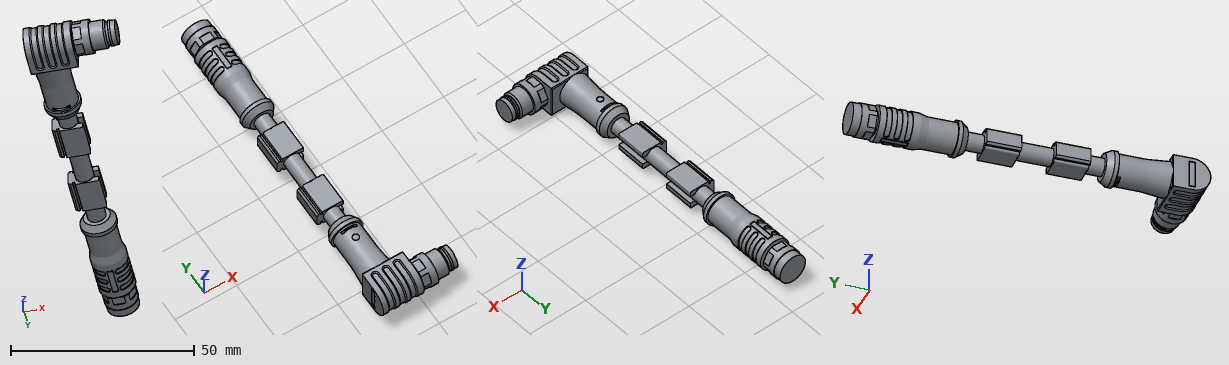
import cadquery as cq
import math


total_length = 103.0
total_width = 25.2
elbow_half = 5.16
y_end = total_length - elbow_half
x_end = total_width - elbow_half

cable_dia = 5.2
cable_overlap = 1.0
grip_dia = 10.3
sleeve_dia = 9.1
sleeve_end_dia = 7.6

nut_dia = 9.55
nut_rim_dia = 9.1
nut_across_flats = 8.9
neck_dia = 7.2

nut_rim_length = 2.45
nut_y = 91.0
nut_flat_length = 2.3
grip_top_y = 90.3
grip_bottom_y = 78.4
grip_cone_y = 75.9
flange_top_y = 67.5
flange_bottom_y = 66.3
straight_tail_y = 64.4

grip_groove_width = 1.55
grip_groove_pitch = 3.0
grip_groove_first_y = 87.5
grip_groove_count = 3
grip_groove_floor_dia = 9.6
grip_groove_tip_x = 1.35
window_width = 1.6
window_length = 7.6
window_floor_z = 4.85

elbow_tail_y = 24.5
elbow_flange_top_y = 22.5
elbow_flange_bottom_y = 21.2
elbow_sleeve_y = 12.6
elbow_tail_dia = 8.0
sleeve_overlap = 0.5
notch_y = 20.3
notch_width = 0.65
notch_half_length = 2.5
dimple_y = 16.9
dimple_dia = 2.0
dimple_floor_z = 4.3

block_top_y = 5.9
block_end_x = 8.0
block_chamfer = 0.3
block_groove_first_x = -2.25
block_groove_pitch = 3.55
block_groove_count = 3
block_groove_top_width = 2.3
block_groove_floor_width = 1.5
block_groove_depth = 0.3
block_groove_end_y = 3.5
mark_y = 0.2
mark_width = 1.7
mark_height = 8.0
mark_depth = 0.3

plug_nut_x = 8.35
plug_flat_length = 2.4
plug_nut_end_x = 13.0
barrel_dia = 8.0
barrel_end_x = 17.35
barrel_chamfer = 0.5
tip_neck_dia = 6.5
tip_ring_dia = 7.2
tip_dia = 6.9
tip_ring_start_x = 18.1
tip_ring_end_x = 18.7

clip_length = 10.0
clip_start_ys = (29.3, 49.3)
clip_body_left_x = -2.8
clip_body_right_x = 3.9
clip_body_half = 3.05
clip_left_round = 0.5
clip_right_round = 0.4
clip_plate_left_x = -4.7
clip_plate_right_x = -3.4
clip_plate_half = 2.6
clip_plate_chamfer_x = 0.65
clip_web_half = 2.0
clip_mouth_half = 1.2


def turned_along_y(stations):
    """Revolve (y, diameter) stations about the Y axis."""
    outline = [(0, stations[0][0])]
    outline += [(dia / 2, y) for y, dia in stations]
    outline += [(0, stations[-1][0])]
    return cq.Workplane("XY").polyline(outline).close().revolve(360, (0, 0, 0), (0, 1, 0))


def turned_along_x(stations):
    """Revolve (x, diameter) stations about the X axis."""
    outline = [(stations[0][0], 0)]
    outline += [(x, dia / 2) for x, dia in stations]
    outline += [(stations[-1][0], 0)]
    return cq.Workplane("XY").polyline(outline).close().revolve(360, (0, 0, 0), (1, 0, 0))


def box(x_range, y_range, z_range):
    """Axis-aligned box between three pairs of limits."""
    sizes = [high - low for low, high in (x_range, y_range, z_range)]
    corner = (x_range[0], y_range[0], z_range[0])
    return cq.Workplane("XY").box(*sizes, centered=False).translate(corner)


def nut_flats_cutter(length):
    """Ring that leaves a hexagonal bar, extruded along +Z, with two flats square to X."""
    across_corners = nut_across_flats / math.cos(math.pi / 6)
    ring = cq.Workplane("XY").circle(nut_dia).extrude(length)
    hexagon = cq.Workplane("XY").polygon(6, across_corners).extrude(length)
    return ring.cut(hexagon.rotate((0, 0, 0), (0, 0, 1), 30))


def grip_grooves():
    """Ring grooves interrupted at the top and bottom, with rounded ends there."""
    reach = grip_dia
    end_radius = grip_groove_width / 2
    grooves = cq.Workplane("XY")
    for index in range(grip_groove_count):
        y = grip_groove_first_y - index * grip_groove_pitch
        for side in (-1, 1):
            slot = (
                cq.Workplane("XY")
                .center(side * (grip_groove_tip_x + reach / 2), y)
                .slot2D(reach, 2 * end_radius)
                .extrude(reach, both=True)
            )
            grooves = grooves.union(slot)
    core = turned_along_y([(grip_bottom_y, grip_groove_floor_dia), (grip_top_y, grip_groove_floor_dia)])
    return grooves.cut(core)


def straight_connector():
    body = turned_along_y([
        (straight_tail_y, sleeve_end_dia),
        (flange_bottom_y, grip_dia),
        (flange_top_y, grip_dia),
        (flange_top_y, sleeve_dia),
        (grip_cone_y, sleeve_dia),
        (grip_bottom_y, grip_dia),
        (grip_top_y, grip_dia),
        (grip_top_y, neck_dia),
        (nut_y, neck_dia),
        (nut_y, nut_dia),
        (y_end - nut_rim_length, nut_dia),
        (y_end - nut_rim_length, nut_rim_dia),
        (y_end, nut_rim_dia),
    ])
    flats = nut_flats_cutter(nut_flat_length)
    flats = flats.rotate((0, 0, 0), (0, 0, 1), 90).rotate((0, 0, 0), (1, 0, 0), -90)
    flats = flats.translate((0, nut_y, 0))
    body = body.cut(flats).cut(grip_grooves())

    window_centre_y = grip_groove_first_y - grip_groove_pitch * (grip_groove_count - 1) / 2
    x_range = (-window_width / 2, window_width / 2)
    y_range = (window_centre_y - window_length / 2, window_centre_y + window_length / 2)
    body = body.cut(box(x_range, y_range, (window_floor_z, grip_dia)))
    return body.cut(box(x_range, y_range, (-grip_dia, -window_floor_z)))


def elbow_sleeve():
    sleeve = turned_along_y([
        (block_top_y - sleeve_overlap, grip_dia),
        (block_top_y, grip_dia),
        (elbow_sleeve_y, sleeve_dia),
        (elbow_flange_bottom_y, sleeve_dia),
        (elbow_flange_bottom_y, grip_dia),
        (elbow_flange_top_y, grip_dia),
        (elbow_tail_y, elbow_tail_dia),
    ])
    notch_floor_z = math.sqrt((sleeve_dia / 2) ** 2 - notch_half_length ** 2)
    x_range = (-grip_dia, grip_dia)
    y_range = (notch_y - notch_width / 2, notch_y + notch_width / 2)
    sleeve = sleeve.cut(box(x_range, y_range, (notch_floor_z, grip_dia)))
    sleeve = sleeve.cut(box(x_range, y_range, (-grip_dia, -notch_floor_z)))
    dimple = (
        cq.Workplane("XY", origin=(0, dimple_y, dimple_floor_z))
        .circle(dimple_dia / 2)
        .extrude(grip_dia)
    )
    return sleeve.cut(dimple)


def block_groove(x):
    """Tapered U groove around the rounded end of the block, with rounded ends on both faces."""
    top = block_groove_top_width / 2
    floor = block_groove_floor_width / 2
    floor_z = elbow_half - block_groove_depth
    section = [(x - top, elbow_half), (x + top, elbow_half), (x + floor, floor_z), (x - floor, floor_z)]
    groove = (
        cq.Workplane("XZ").polyline(section).close()
        .revolve(360, (0, 0, 0), (1, 0, 0))
        .intersect(box((x - top, x + top), (-2 * elbow_half, 0), (-elbow_half, elbow_half)))
    )
    straight = cq.Workplane("XZ").polyline(section).close().extrude(-block_groove_end_y)
    rounded_end = (
        cq.Workplane("XZ", origin=(x, block_groove_end_y, 0))
        .polyline([(0, floor_z), (floor, floor_z), (top, elbow_half), (0, elbow_half)]).close()
        .revolve(360, (0, 0, 0), (0, 1, 0))
    )
    leg = straight.union(rounded_end)
    return groove.union(leg).union(leg.mirror("XY"))


def elbow_block():
    block = (
        cq.Workplane("YZ", origin=(-elbow_half, 0, 0))
        .moveTo(block_top_y, -elbow_half)
        .lineTo(block_top_y, elbow_half)
        .lineTo(0, elbow_half)
        .threePointArc((-elbow_half, 0), (0, -elbow_half))
        .close()
        .extrude(elbow_half + block_end_x)
    )
    block = block.faces(">Y").chamfer(block_chamfer)
    for index in range(block_groove_count):
        block = block.cut(block_groove(block_groove_first_x + index * block_groove_pitch))
    mark = box(
        (-elbow_half, -elbow_half + mark_depth),
        (mark_y - mark_width / 2, mark_y + mark_width / 2),
        (-mark_height / 2, mark_height / 2),
    )
    return block.cut(mark)


def plug():
    body = turned_along_x([
        (0, neck_dia),
        (plug_nut_x, neck_dia),
        (plug_nut_x, nut_dia),
        (plug_nut_end_x, nut_dia),
        (plug_nut_end_x, barrel_dia),
        (barrel_end_x - barrel_chamfer, barrel_dia),
        (barrel_end_x, barrel_dia - 2 * barrel_chamfer),
        (barrel_end_x, tip_neck_dia),
        (tip_ring_start_x, tip_neck_dia),
        (tip_ring_start_x, tip_ring_dia),
        (tip_ring_end_x, tip_ring_dia),
        (tip_ring_end_x, tip_dia),
        (x_end, tip_dia),
    ])
    flats = nut_flats_cutter(plug_flat_length).rotate((0, 0, 0), (0, 1, 0), 90)
    return body.cut(flats.translate((plug_nut_x, 0, 0)))


def label_clip(start_y):
    """C-shaped clip with a chamfered plate on -X and jaws open towards +X."""
    y_range = (start_y, start_y + clip_length)
    body = box((clip_body_left_x, clip_body_right_x), y_range, (-clip_body_half, clip_body_half))
    body = body.edges("|Y and <X").fillet(clip_left_round)
    body = body.edges("|Y and >X").fillet(clip_right_round)
    body = body.cut(box((0, clip_body_right_x), y_range, (-clip_mouth_half, clip_mouth_half)))
    web = box((clip_plate_right_x, 0), y_range, (-clip_web_half, clip_web_half))
    plate_chamfer_end_x = clip_plate_left_x + clip_plate_chamfer_x
    plate = (
        cq.Workplane("XZ", origin=(0, start_y, 0))
        .polyline([
            (clip_plate_left_x, -clip_web_half),
            (plate_chamfer_end_x, -clip_plate_half),
            (clip_plate_right_x, -clip_plate_half),
            (clip_plate_right_x, clip_plate_half),
            (plate_chamfer_end_x, clip_plate_half),
            (clip_plate_left_x, clip_web_half),
        ])
        .close()
        .extrude(-clip_length)
    )
    return body.union(web).union(plate)


cable = turned_along_y([
    (elbow_tail_y - cable_overlap, cable_dia),
    (straight_tail_y + cable_overlap, cable_dia),
])
result = cable.union(straight_connector()).union(elbow_sleeve()).union(elbow_block()).union(plug())
for clip_y in clip_start_ys:
    result = result.union(label_clip(clip_y))